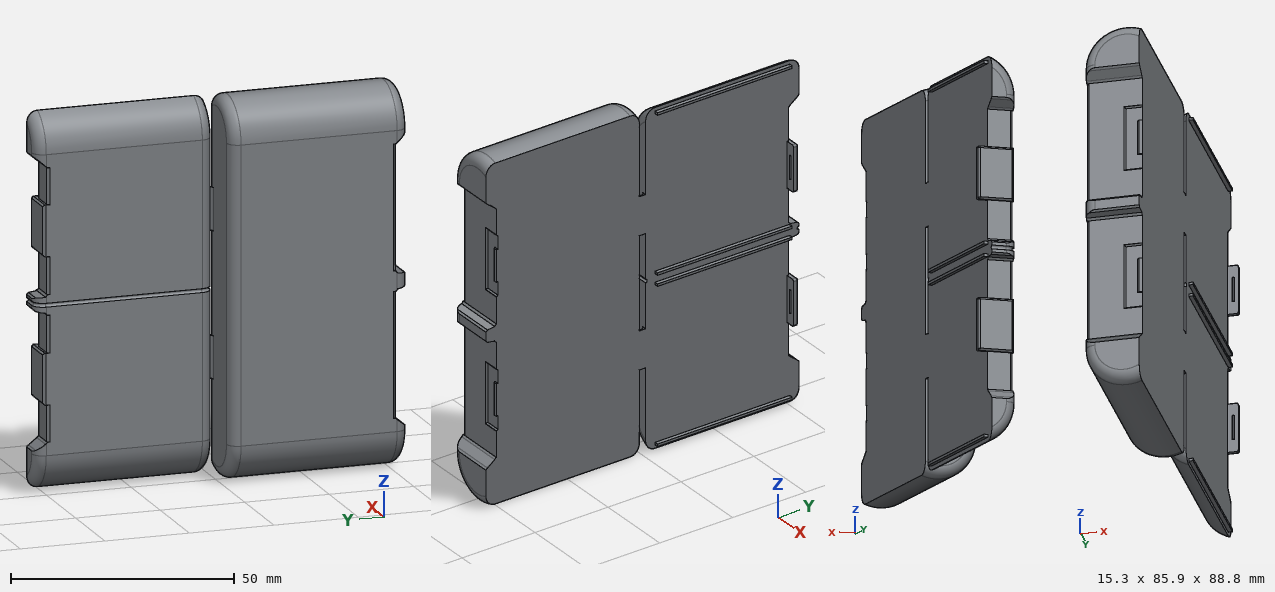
import cadquery as cq
import math


full_height = 88.8
total_length = 85.9
hinge_gap = 1.7
base_depth = 12.8
lid_depth = 6.0
edge_radius = (base_depth + lid_depth) / 2
end_round = 2.6
outer_end = total_length / 2
inner_end = hinge_gap / 2
shell_length = outer_end - inner_end
arc_center_z = full_height / 2 - edge_radius

recess_depth = 2.8
recess_mouth_half = 34.3
recess_floor_half = 31.9
rib_tip_half = 1.15
rib_root_half = 2.4
recess_bevel_inset = 0.4
rib_side_draft = 0.3
corner_break = 0.4
recess_flare_length = 0.6
recess_flare_depth = 0.5
recess_floor = outer_end - recess_depth

station_z = 17.2
hinge_width = 10.0
hinge_thickness = 0.35

pocket_width = 15.9
pocket_reach = 4.3
pocket_depth = 0.4
pocket_slope = 0.35
ridge_width = 8.35
ridge_reach = 1.15
ridge_slope = 0.35

latch_width = 12.1
latch_height = 2.5
latch_step = 1.0
latch_thickness = 1.4
latch_edge_chamfer = 0.4
latch_corner_round = 0.4
nub_width = 5.95
nub_center_x = 1.3
nub_half_height = 0.3
nub_depth = 0.35

rail_height = 1.0
rail_thickness = 0.6
rail_start = inner_end + end_round
rail_end = outer_end - end_round
outer_rail_z = 42.5
middle_rail_z = 1.4
groove_radius = 0.4


def box(x_range, y_range, z_range):
    """Axis-aligned box between the given limits."""
    sizes = [high - low for low, high in (x_range, y_range, z_range)]
    corner = (x_range[0], y_range[0], z_range[0])
    return cq.Workplane("XY").box(*sizes, centered=False).translate(corner)


def shell(depth):
    """Solid half shell on the +Y side with rounded long edges and rounded ends."""
    center_x = edge_radius - depth
    seam_z = arc_center_z + math.sqrt(edge_radius**2 - center_x**2)
    mid_angle = (math.pi + math.atan2(seam_z - arc_center_z, -center_x)) / 2
    mid_x = center_x + edge_radius * math.cos(mid_angle)
    mid_z = arc_center_z + edge_radius * math.sin(mid_angle)
    body = (
        cq.Workplane("XZ", origin=(0, outer_end, 0))
        .moveTo(0, -seam_z)
        .lineTo(0, seam_z)
        .threePointArc((mid_x, mid_z), (-depth, arc_center_z))
        .lineTo(-depth, -arc_center_z)
        .threePointArc((mid_x, -mid_z), (0, -seam_z))
        .close()
        .extrude(shell_length)
    )
    end_edges = body.faces("|Y").edges("not >X")
    return end_edges.fillet(end_round)


def recess_cutter(depth):
    """Upper half of the end recess, flaring along the outer -X face."""
    break_y = outer_end - corner_break
    root_y = recess_floor + corner_break
    rib_side = rib_tip_half + corner_break
    cutter = (
        cq.Workplane("YZ", origin=(-depth, 0, 0))
        .polyline(
            [
                (outer_end, rib_tip_half),
                (break_y, rib_side),
                (root_y, rib_side + rib_side_draft),
                (recess_floor, rib_root_half),
                (recess_floor, recess_floor_half),
                (root_y, recess_floor_half + recess_bevel_inset),
                (break_y, recess_mouth_half - recess_bevel_inset),
                (outer_end, recess_mouth_half),
            ]
        )
        .close()
        .extrude(depth)
    )
    flare = (
        cq.Workplane("XY", origin=(0, 0, rib_root_half))
        .polyline(
            [
                (-depth, recess_floor),
                (-depth, recess_floor - recess_flare_length),
                (recess_flare_depth - depth, recess_floor),
            ]
        )
        .close()
        .extrude(recess_floor_half - rib_root_half)
    )
    return cutter.union(flare)


def both_halves(upper):
    """The given upper feature together with its mirror image below z = 0."""
    return upper.union(upper.mirror("XY"))


def pocket():
    """Shallow sloped-wall finger pocket, leaving the catch ridge at the seam."""
    floor_y = recess_floor - pocket_depth
    pocket_z = (station_z - pocket_width / 2, station_z + pocket_width / 2)
    ridge_z = (station_z - ridge_width / 2, station_z + ridge_width / 2)
    mouth = box((-pocket_reach, 0), (floor_y, recess_floor), pocket_z)
    mouth = mouth.faces("<Y").edges("not >X").chamfer(pocket_slope)
    ridge = box((-ridge_reach, 0), (floor_y, recess_floor), ridge_z)
    ridge = ridge.edges("<X and >Y").chamfer(ridge_slope)
    return mouth.cut(ridge)


def latch():
    """Latch column across the lid end, with a rounded tip and a catch nub facing inward."""
    outer_y = recess_floor + latch_step
    inner_y = outer_y - latch_thickness
    low_z = station_z - latch_width / 2
    plate = box((-lid_depth, latch_height), (inner_y, outer_y), (low_z, low_z + latch_width))
    plate = plate.edges(">X and |Y").fillet(latch_corner_round)
    plate = plate.faces(">Y").edges("not <X").chamfer(latch_edge_chamfer)
    plate = plate.faces(">Y").edges("<X").chamfer(recess_flare_depth, recess_flare_length)
    backing_y = (recess_floor - recess_flare_length, inner_y)
    backing = box((-lid_depth, 0), backing_y, (low_z, low_z + latch_width))
    nub = (
        cq.Workplane("XY", origin=(0, 0, station_z - nub_width / 2))
        .polyline(
            [
                (nub_center_x - nub_half_height, inner_y),
                (nub_center_x, inner_y - nub_depth),
                (nub_center_x + nub_half_height, inner_y),
            ]
        )
        .close()
        .extrude(nub_width)
    )
    return plate.union(backing).union(nub)


def rail(center_z):
    """Thin rail along Y standing on the lid's mating plane."""
    rail_z = (center_z - rail_thickness / 2, center_z + rail_thickness / 2)
    return box((0, rail_height), (rail_start, rail_end), rail_z)


def groove():
    """Round groove following the lid's outline around its middle."""
    bend = end_round * (1 - math.sqrt(0.5))
    path = (
        cq.Workplane("XY")
        .moveTo(0, inner_end)
        .lineTo(end_round - lid_depth, inner_end)
        .threePointArc((bend - lid_depth, inner_end + bend), (-lid_depth, inner_end + end_round))
        .lineTo(-lid_depth, outer_end - end_round)
        .threePointArc((bend - lid_depth, outer_end - bend), (end_round - lid_depth, outer_end))
        .lineTo(0, outer_end)
    )
    return cq.Workplane("YZ", origin=(0, inner_end, 0)).circle(groove_radius).sweep(path)


def hinge():
    """Thin bridge between the shells, with a round-bottomed gap behind it."""
    gap_radius = hinge_gap / 2
    low_z = station_z - hinge_width / 2
    back_x = -hinge_thickness - gap_radius
    bridge = box((back_x, 0), (-gap_radius, gap_radius), (low_z, low_z + hinge_width))
    gap = cq.Workplane("XY", origin=(back_x, 0, low_z)).circle(gap_radius).extrude(hinge_width)
    return bridge.cut(gap)


base = shell(base_depth).cut(both_halves(recess_cutter(base_depth))).cut(both_halves(pocket()))
base = base.mirror("XZ")

lid = shell(lid_depth).cut(both_halves(recess_cutter(lid_depth))).cut(groove())
lid = lid.union(both_halves(latch()))
lid = lid.union(both_halves(rail(outer_rail_z))).union(both_halves(rail(middle_rail_z)))

result = base.union(both_halves(hinge())).union(lid).solids()